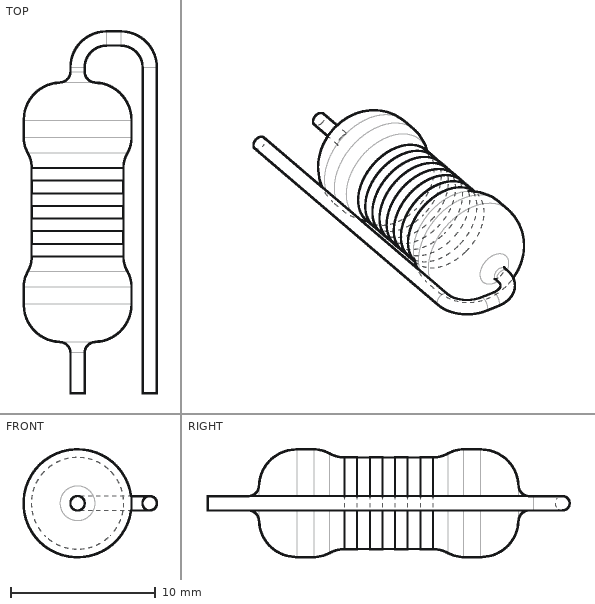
import cadquery as cq
import math

total_length = 25.1
total_width = 9.25
wire_radius = 1.0 / 2
bend_radius = 2.0

cap_radius = 7.5 / 2
waist_radius = 6.38 / 2
band_radius = 6.4 / 2

body_length = 18.02
dome_radius = 2.64
cap_land = 1.2
neck_length = 2.1
collar_radius = 0.73
segment_count = 7

half_body = body_length / 2
waist_length = body_length - 2 * (dome_radius + cap_land + neck_length)
center_y = total_length / 2
lead_spacing = total_width - cap_radius - wire_radius


def arc_middle(center, radius, start, end):
    """Middle point of the short arc between two points on a circle."""
    dx = (start[0] + end[0]) / 2 - center[0]
    dy = (start[1] + end[1]) / 2 - center[1]
    stretch = radius / math.hypot(dx, dy)
    return center[0] + dx * stretch, center[1] + dy * stretch


def end_cap():
    """Revolve the +Y end of the body, from the end of the waist to the lead collar."""
    land_end = half_body - dome_radius
    land_start = land_end - cap_land
    neck_start = land_start - neck_length

    neck_drop = cap_radius - waist_radius
    neck_radius = (neck_length**2 + neck_drop**2) / (4 * neck_drop)
    neck_mid = ((cap_radius + waist_radius) / 2, neck_start + neck_length / 2)

    dome_center = (cap_radius - dome_radius, land_end)
    collar_x = wire_radius + collar_radius
    center_distance = dome_radius + collar_radius
    collar_rise = math.sqrt(center_distance**2 - (collar_x - dome_center[0])**2)
    collar_center = (collar_x, land_end + collar_rise)
    share = dome_radius / center_distance
    contact = (
        dome_center[0] + share * (collar_x - dome_center[0]),
        land_end + share * collar_rise,
    )

    waist_end = (waist_radius, neck_start)
    cap_start = (cap_radius, land_start)
    dome_start = (cap_radius, land_end)
    collar_end = (wire_radius, collar_center[1])
    waist_arc_center = (waist_radius + neck_radius, neck_start)
    cap_arc_center = (cap_radius - neck_radius, land_start)
    profile = (
        cq.Workplane("XY")
        .moveTo(0, neck_start)
        .lineTo(*waist_end)
        .threePointArc(arc_middle(waist_arc_center, neck_radius, waist_end, neck_mid), neck_mid)
        .threePointArc(arc_middle(cap_arc_center, neck_radius, neck_mid, cap_start), cap_start)
        .lineTo(*dome_start)
        .threePointArc(arc_middle(dome_center, dome_radius, dome_start, contact), contact)
        .threePointArc(arc_middle(collar_center, collar_radius, contact, collar_end), collar_end)
        .lineTo(0, collar_end[1])
        .close()
    )
    return profile.revolve(360, (0, 0, 0), (0, 1, 0))


def cylinder_along_y(radius, start_y, length):
    return cq.Workplane(cq.Solid.makeCylinder(radius, length, cq.Vector(0, start_y, 0), cq.Vector(0, 1, 0)))


def body():
    cap = end_cap()
    shape = cap.union(cap.mirror("XZ"))
    segment = waist_length / segment_count
    for index in range(segment_count):
        radius = band_radius if index % 2 == 0 else waist_radius
        shape = shape.union(cylinder_along_y(radius, index * segment - waist_length / 2, segment))
    return shape.translate((0, center_y, 0))


def bent_lead():
    """Lead leaving the +Y end of the body, turning back beside it."""
    start_y = center_y + half_body
    top_y = total_length - wire_radius
    bend_y = top_y - bend_radius
    diagonal = bend_radius * math.sqrt(0.5)
    path = (
        cq.Workplane("XY")
        .moveTo(0, start_y)
        .lineTo(0, bend_y)
        .threePointArc((bend_radius - diagonal, bend_y + diagonal), (bend_radius, top_y))
        .lineTo(lead_spacing - bend_radius, top_y)
        .threePointArc(
            (lead_spacing - bend_radius + diagonal, bend_y + diagonal), (lead_spacing, bend_y)
        )
        .lineTo(lead_spacing, 0)
    )
    return cq.Workplane("XZ", origin=(0, start_y, 0)).circle(wire_radius).sweep(path)


straight_lead = cylinder_along_y(wire_radius, 0, center_y - half_body)
result = body().union(straight_lead).union(bent_lead())